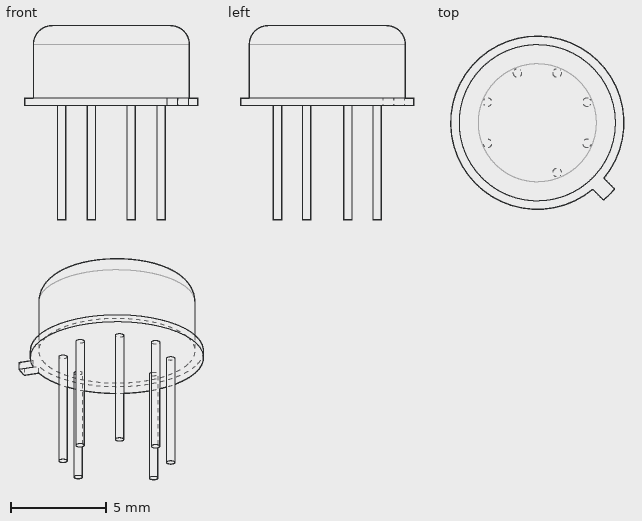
import cadquery as cq

total_height = 10.2
lead_length = 6.0
flange_diameter = 9.1
flange_thickness = 0.4
cap_diameter = 8.2
cap_edge_radius = 1.0

tab_width = 0.83
tab_tip_radius = 5.34
tab_angle = -45.0

lead_diameter = 0.45
side_lead_offset = (2.61, 1.08)
end_lead_offset = (1.04, 2.61)
empty_quadrant = (-1, -1)

flange_top = lead_length + flange_thickness
cap_height = total_height - flange_top


def make_cap():
    """Solid cylinder with a rounded upper rim."""
    cap = cq.Workplane("XY").workplane(offset=flange_top).circle(cap_diameter / 2).extrude(cap_height)
    return cap.faces(">Z").edges().fillet(cap_edge_radius)


def make_flange():
    """Round base plate with a radial tab whose tip is concentric with the plate."""
    base = cq.Workplane("XY").workplane(offset=lead_length)
    plate = base.circle(flange_diameter / 2).extrude(flange_thickness)
    bar = base.rect(tab_tip_radius, tab_width, centered=(False, True)).extrude(flange_thickness)
    tip_limit = base.circle(tab_tip_radius).extrude(flange_thickness)
    tab = bar.intersect(tip_limit).rotate((0, 0, 0), (0, 0, 1), tab_angle)
    return plate.union(tab)


def lead_positions():
    """Eight symmetric places, less the end lead of the empty quadrant."""
    positions = []
    for x_sign in (-1, 1):
        for y_sign in (-1, 1):
            positions.append((x_sign * side_lead_offset[0], y_sign * side_lead_offset[1]))
            if (x_sign, y_sign) != empty_quadrant:
                positions.append((x_sign * end_lead_offset[0], y_sign * end_lead_offset[1]))
    return positions


def make_leads():
    """Straight round leads from the tips up to the underside of the flange."""
    return cq.Workplane("XY").pushPoints(lead_positions()).circle(lead_diameter / 2).extrude(lead_length)


result = make_flange().union(make_cap()).union(make_leads())